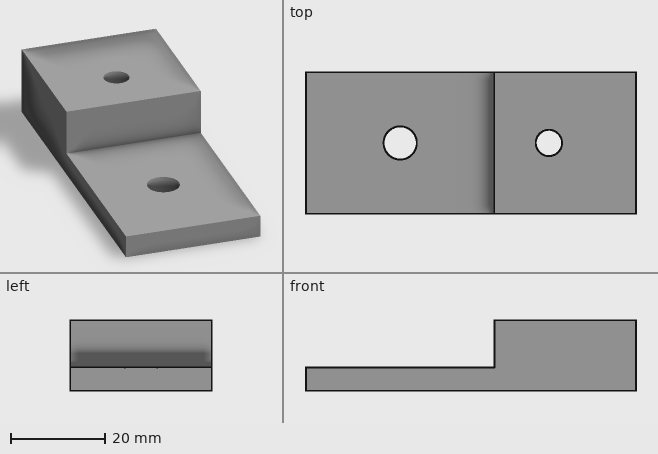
import cadquery as cq

length = 70.0
width = 30.0
height = 15.0

plate_length = 40.0
plate_thickness = 5.0

plate_hole_diameter = 7.0
plate_hole_x = plate_length / 2
block_hole_diameter = 5.5
block_hole_x = 51.5


def through_hole(x, diameter):
    """Vertical cylinder spanning the full height, centred across the width."""
    return cq.Workplane("XY").center(x, 0).circle(diameter / 2).extrude(height)


body = (
    cq.Workplane("XZ")
    .moveTo(0, 0)
    .lineTo(length, 0)
    .lineTo(length, height)
    .lineTo(plate_length, height)
    .lineTo(plate_length, plate_thickness)
    .lineTo(0, plate_thickness)
    .close()
    .extrude(width / 2, both=True)
)

result = body.cut(through_hole(plate_hole_x, plate_hole_diameter))
result = result.cut(through_hole(block_hole_x, block_hole_diameter))